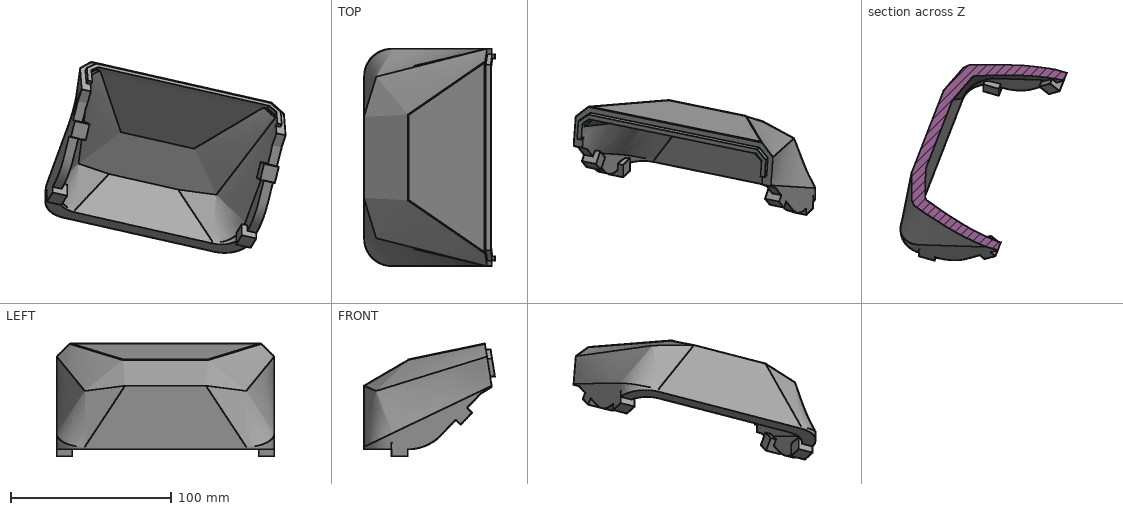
import cadquery as cq
import math

half_width = 67.9
corner_radius = 17.5
rim_lean = 0.16
rim_foot_x = 86.1
hollow_scale = 0.91

seam_back_z = 1.6
seam_front_z = 39.8
skirt_tip_z = 39.1
base_length = 27.4
belly_radius = 28.5
belly_angle = math.radians(48)
slope_end = (72.8, 34.8)

ridge_y = 25.3
ridge_z = 39.8
roof_back_x = 27.4
roof_back_y = 26.7
roof_back_z = 55.8
roof_front_y = 59.9
roof_front_z = 65.8
shoulder_x = 7.6
shoulder_z = 36.5
rim_corner_z = 58.0

panel_inset = 0.4
panel_height = 0.4

tab_length = 10.3
tab_width = 9.8
tab_height = 4.3
slope_tab_offset = 12.5

lip_top_z = 62.5
lip_top_y = 58.0
lip_side_y = 64.5
lip_corner_z = 56.8
lip_bottom_z = 45.5
lip_thickness = 2.9
lip_reach = 3.0
lip_root = 2.7


def rim_x(z):
    """X of the leaning front rim plane at a given height."""
    return rim_foot_x - rim_lean * z


def belly_point(angle):
    """Point on the arc that leads from the flat base up to the sloped underside."""
    x = base_length + belly_radius * math.sin(angle)
    z = belly_radius * (1 - math.cos(angle))
    return x, z


def flat_face(*points):
    corners = [cq.Vector(*p) for p in points]
    return cq.Face.makeFromWires(cq.Wire.makePolygon(corners, close=True))


def straight_edge(start, end):
    return cq.Edge.makeLine(cq.Vector(*start), cq.Vector(*end))


def twisted_face(a, b, c, d):
    """Ruled face between the straight edges a-b and d-c."""
    return cq.Face.makeRuledSurface(straight_edge(a, b), straight_edge(d, c))


def side_prism(points, y_start, y_end):
    """Polygon in the XZ plane extruded between two Y positions."""
    plane = cq.Workplane("XZ", origin=(0, y_end, 0))
    return plane.polyline(points).close().extrude(y_end - y_start)


def make_skirt():
    """Lower body with rounded back corners, topped by the sloped seam plane."""
    profile = (
        cq.Workplane("XZ", origin=(0, half_width, 0))
        .lineTo(base_length, 0)
        .threePointArc(belly_point(belly_angle / 2), belly_point(belly_angle))
        .lineTo(*slope_end)
        .lineTo(rim_x(skirt_tip_z), skirt_tip_z)
        .lineTo(rim_x(seam_front_z), seam_front_z)
        .lineTo(0, seam_back_z)
        .close()
    )
    return profile.extrude(2 * half_width).edges("|Z and <X").fillet(corner_radius)


def make_dome(skirt):
    """Faceted upper body standing on the sloped top of the skirt."""
    seam_front_x = rim_x(seam_front_z)
    seam_middle = (seam_front_x / 2, 0, (seam_back_z + seam_front_z) / 2)
    seam = skirt.faces(cq.NearestToPointSelector(seam_middle)).val()
    seam_arcs = [edge for edge in seam.Edges() if edge.geomType() != "LINE"]
    seam_slope = (seam_front_z - seam_back_z) / seam_front_x
    arc_start_y = half_width - corner_radius
    arc_end_z = seam_back_z + seam_slope * corner_radius

    def mirrored(x, y, z):
        return (x, -y, z), (x, y, z)

    ridge = mirrored(0, ridge_y, ridge_z)
    roof_back = mirrored(roof_back_x, roof_back_y, roof_back_z)
    roof_front = mirrored(rim_x(roof_front_z), roof_front_y, roof_front_z)
    shoulder = mirrored(shoulder_x, arc_start_y, shoulder_z)
    rim_top = mirrored(rim_x(rim_corner_z), half_width, rim_corner_z)
    rim_bottom = mirrored(seam_front_x, half_width, seam_front_z)
    arc_back = mirrored(0, arc_start_y, seam_back_z)
    arc_side = mirrored(corner_radius, half_width, arc_end_z)

    faces = [
        seam,
        flat_face(*roof_back, *reversed(roof_front)),
        flat_face(*ridge, *reversed(roof_back)),
        flat_face(*ridge, *reversed(arc_back)),
        flat_face(*roof_front, rim_top[1], *reversed(rim_bottom), rim_top[0]),
    ]
    for side, sign in enumerate((-1, 1)):
        arc = max(seam_arcs, key=lambda edge: sign * edge.Center().y)
        corner_edges = [
            arc,
            straight_edge(arc_back[side], shoulder[side]),
            straight_edge(shoulder[side], arc_side[side]),
        ]
        faces += [
            flat_face(ridge[side], roof_back[side], shoulder[side]),
            flat_face(ridge[side], shoulder[side], arc_back[side]),
            twisted_face(shoulder[side], rim_top[side], roof_front[side], roof_back[side]),
            twisted_face(shoulder[side], rim_top[side], rim_bottom[side], arc_side[side]),
            cq.Face.makeNSidedSurface(corner_edges, []),
        ]
    return cq.Workplane(obj=cq.Solid.makeSolid(cq.Shell.makeShell(faces)))


def make_cavity(body):
    """Copy of the body shrunk toward the foot of the rim plane, so that it opens down and forward."""
    foot = cq.Vector(rim_foot_x, 0, 0)
    return cq.Workplane(obj=body.val().translate(-foot).scale(hollow_scale).translate(foot))


def make_roof_panel():
    """Thin plate on the flat roof, set in slightly from the roof edges."""
    run = rim_x(roof_front_z) - roof_back_x
    rise = roof_front_z - roof_back_z
    length = math.hypot(run, rise)
    roof_plane = cq.Plane(origin=(roof_back_x, 0, roof_back_z), xDir=(run, 0, rise), normal=(-rise, 0, run))
    corners = [(0, -roof_back_y), (length, -roof_front_y), (length, roof_front_y), (0, roof_back_y)]
    outline = cq.Workplane(roof_plane).polyline(corners).close().offset2D(-panel_inset)
    return outline.extrude(panel_height)


def make_tabs():
    """Two tabs under the base and two on the sloped underside, rooted in the side walls."""
    belly_end = cq.Vector(*belly_point(belly_angle))
    slope = (cq.Vector(*slope_end) - belly_end).normalized()
    places = (
        (cq.Vector(base_length - tab_length, 0), cq.Vector(1, 0)),
        (belly_end + slope * slope_tab_offset, slope),
    )
    inner_y = half_width - tab_width
    tabs = cq.Workplane()
    for start, along in places:
        length = along * tab_length
        depth = cq.Vector(along.y, -along.x) * tab_height
        corners = (start - depth, start + depth, start + depth + length, start - depth + length)
        outline = [(corner.x, corner.y) for corner in corners]
        tabs = tabs.add(side_prism(outline, -half_width, -inner_y))
        tabs = tabs.add(side_prism(outline, inner_y, half_width))
    return tabs.combine()


def make_lip():
    """Arched lip standing out of the front rim, open at the bottom."""
    floor_z = lip_bottom_z - lip_thickness
    right_half = [(lip_top_y, lip_top_z), (lip_side_y, lip_corner_z), (lip_side_y, floor_z)]
    left_half = [(-y, z) for y, z in reversed(right_half)]
    arch = cq.Workplane("YZ").polyline(right_half + left_half).close()
    arch_length = rim_foot_x + lip_reach
    opening = cq.Workplane("YZ").polyline(right_half + left_half).close().offset2D(-lip_thickness)
    ring = arch.extrude(arch_length).cut(opening.extrude(arch_length))
    leaning_band = [
        (rim_x(lip_bottom_z) - lip_root, lip_bottom_z),
        (rim_x(lip_bottom_z) + lip_reach, lip_bottom_z),
        (rim_x(lip_top_z) + lip_reach, lip_top_z),
        (rim_x(lip_top_z) - lip_root, lip_top_z),
    ]
    return ring.intersect(side_prism(leaning_band, -half_width, half_width))


skirt = make_skirt()
body = skirt.union(make_dome(skirt))
shell = body.cut(make_cavity(body))
result = shell.union(make_roof_panel()).union(make_tabs()).union(make_lip())